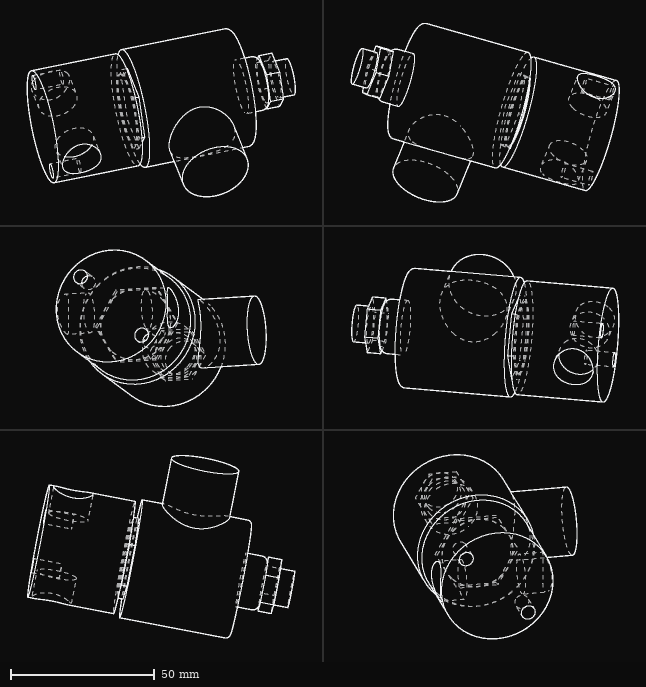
import cadquery as cq
import math

TOTAL_LENGTH = 89.85

BODY_DIAMETER = 40.0
BODY_LENGTH = 30.5
PORT_DIAMETER = 14.0
PORT_SETBACK = 8.5
PORT_DEPTH = 9.5
MOUNT_HOLE_DIAMETER = 5.0
MOUNT_HOLE_OFFSET = 11.1
MOUNT_HOLE_DEPTH = 10.0

COLLAR_DIAMETER = 25.4
COLLAR_LENGTH = 0.4
BASE_HEX_ACROSS_FLATS = 25.4
BASE_HEX_LENGTH = 1.95
COIL_DIAMETER = 42.0
COIL_LENGTH = 39.1
COIL_FILLET = 1.7
NECK_DIAMETER = 19.2
NECK_LENGTH = 7.9
NECK_FILLET = 2.3
NUT_ACROSS_FLATS = 17.0
NUT_LENGTH = 4.75
STEM_DIAMETER = 13.0
CONDUIT_DIAMETER = 24.0
CONDUIT_REACH = 37.8
CONDUIT_SETBACK = 19.0

COLLAR_START = BODY_LENGTH
BASE_HEX_START = COLLAR_START + COLLAR_LENGTH
COIL_START = BASE_HEX_START + BASE_HEX_LENGTH
NECK_START = COIL_START + COIL_LENGTH
NUT_START = NECK_START + NECK_LENGTH
STEM_START = NUT_START + NUT_LENGTH
STEM_LENGTH = TOTAL_LENGTH - STEM_START


def section_plane(y):
    """Plane across the main axis at y, with its normal along +Y."""
    return cq.Workplane(cq.Plane(origin=(0, y, 0), xDir=(1, 0, 0), normal=(0, 1, 0)))


def disc(y, diameter, length):
    return section_plane(y).circle(diameter / 2).extrude(length)


def hexagon(y, across_flats, length):
    """Hexagonal prism with two corners on the X axis."""
    across_corners = across_flats / math.cos(math.pi / 6)
    return section_plane(y).polygon(6, across_corners).extrude(length)


def make_valve_body():
    body = disc(0, BODY_DIAMETER, BODY_LENGTH)

    for side in (-1, 1):
        mouth = cq.Plane(
            origin=(side * BODY_DIAMETER / 2, PORT_SETBACK, 0),
            xDir=(0, 1, 0),
            normal=(-side, 0, 0),
        )
        body = body.cut(cq.Workplane(mouth).circle(PORT_DIAMETER / 2).extrude(PORT_DEPTH))

    for side in (-1, 1):
        hole = disc(0, MOUNT_HOLE_DIAMETER, MOUNT_HOLE_DEPTH)
        body = body.cut(hole.translate((side * MOUNT_HOLE_OFFSET, 0, -side * MOUNT_HOLE_OFFSET)))
    return body


def make_solenoid():
    collar = disc(COLLAR_START, COLLAR_DIAMETER, COLLAR_LENGTH)
    base_hex = hexagon(BASE_HEX_START, BASE_HEX_ACROSS_FLATS, BASE_HEX_LENGTH)
    coil = disc(COIL_START, COIL_DIAMETER, COIL_LENGTH).faces(">Y").edges().fillet(COIL_FILLET)
    neck = disc(NECK_START, NECK_DIAMETER, NECK_LENGTH).faces(">Y").edges().fillet(NECK_FILLET)
    nut = hexagon(NUT_START, NUT_ACROSS_FLATS, NUT_LENGTH)
    stem = disc(STEM_START, STEM_DIAMETER, STEM_LENGTH)

    conduit = (
        cq.Workplane("YZ")
        .center(COIL_START + CONDUIT_SETBACK, 0)
        .circle(CONDUIT_DIAMETER / 2)
        .extrude(CONDUIT_REACH)
    )

    solenoid = coil
    for section in (conduit, base_hex, collar, neck, nut, stem):
        solenoid = solenoid.union(section)
    return solenoid


valve_body = make_valve_body()
solenoid = make_solenoid()

result = cq.Compound.makeCompound([valve_body.val(), solenoid.val()])